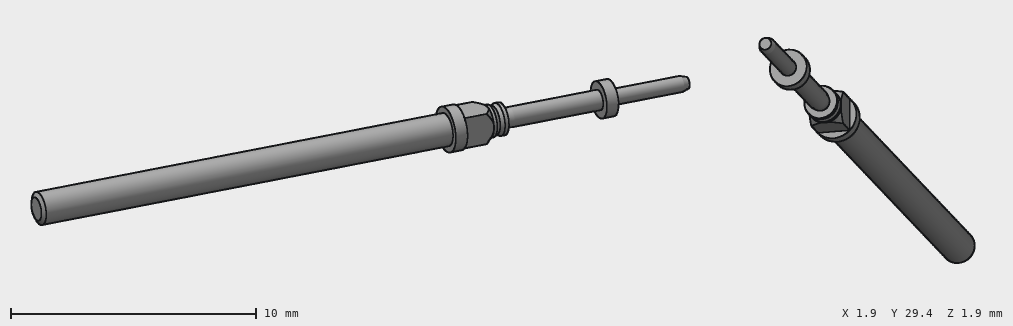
import cadquery as cq

LENGTH = 29.4
NOSE_Y = LENGTH / 2

PIN_DIA = 0.68
PIN_FLANGE_DIA = 1.55
SHAFT_DIA = 0.85
NECK_END_DIA = 0.75
BODY_DIA = 1.38
COLLAR_DIA = BODY_DIA
GROOVE_DIA = 1.2
BODY_FLANGE_DIA = 1.9

PIN_FLANGE_START = 3.47
PIN_FLANGE_END = 4.0
NECK_START = 8.0
COLLAR_START = 8.38
GROOVE_START = 8.55
GROOVE_BOTTOM = 8.73
GROOVE_END = 8.9
HEAD_CONE_START = 9.05
HEAD_CONE_END = 9.38
BODY_FLANGE_START = 10.38
BODY_FLANGE_END = 10.9

HEAD_SIDE = 1.35

NOSE_CHAMFER_LENGTH = 0.3
NOSE_CHAMFER_DEPTH = 0.1
TAIL_CHAMFER_LENGTH = 0.12
TAIL_CHAMFER_DEPTH = 0.2


def turned(stations):
    """Solid of revolution about Y through (distance from the nose, diameter) stations."""
    rim = [(dia / 2, NOSE_Y - distance) for distance, dia in stations]
    front = (0, rim[0][1])
    back = (0, rim[-1][1])
    outline = cq.Workplane("XY").polyline([front] + rim + [back]).close()
    return outline.revolve(360, (0, 0), (0, 1))


def contact_end():
    """Chamfered pin, its flange, the thicker shaft and the tapered neck."""
    return turned([
        (0, PIN_DIA - 2 * NOSE_CHAMFER_DEPTH),
        (NOSE_CHAMFER_LENGTH, PIN_DIA),
        (PIN_FLANGE_START, PIN_DIA),
        (PIN_FLANGE_START, PIN_FLANGE_DIA),
        (PIN_FLANGE_END, PIN_FLANGE_DIA),
        (PIN_FLANGE_END, SHAFT_DIA),
        (NECK_START, SHAFT_DIA),
        (COLLAR_START, NECK_END_DIA),
    ])


def grooved_collar():
    """Collar with a V groove around it, running back to the front of the square head."""
    return turned([
        (COLLAR_START, COLLAR_DIA),
        (GROOVE_START, COLLAR_DIA),
        (GROOVE_BOTTOM, GROOVE_DIA),
        (GROOVE_END, COLLAR_DIA),
        (HEAD_CONE_START, COLLAR_DIA),
    ])


def square_head():
    """Square block trimmed at the front by a cone."""
    length = BODY_FLANGE_START - HEAD_CONE_START
    center_y = NOSE_Y - HEAD_CONE_START - length / 2
    block = cq.Workplane("XY").box(HEAD_SIDE, length, HEAD_SIDE).translate((0, center_y, 0))
    envelope = turned([
        (HEAD_CONE_START, COLLAR_DIA),
        (HEAD_CONE_END, BODY_FLANGE_DIA),
        (BODY_FLANGE_START, BODY_FLANGE_DIA),
    ])
    return block.intersect(envelope)


def body():
    """Flange behind the head and the long barrel with its chamfered tail."""
    return turned([
        (BODY_FLANGE_START, BODY_FLANGE_DIA),
        (BODY_FLANGE_END, BODY_FLANGE_DIA),
        (BODY_FLANGE_END, BODY_DIA),
        (LENGTH - TAIL_CHAMFER_LENGTH, BODY_DIA),
        (LENGTH, BODY_DIA - 2 * TAIL_CHAMFER_DEPTH),
    ])


result = contact_end().union(grooved_collar()).union(square_head()).union(body())